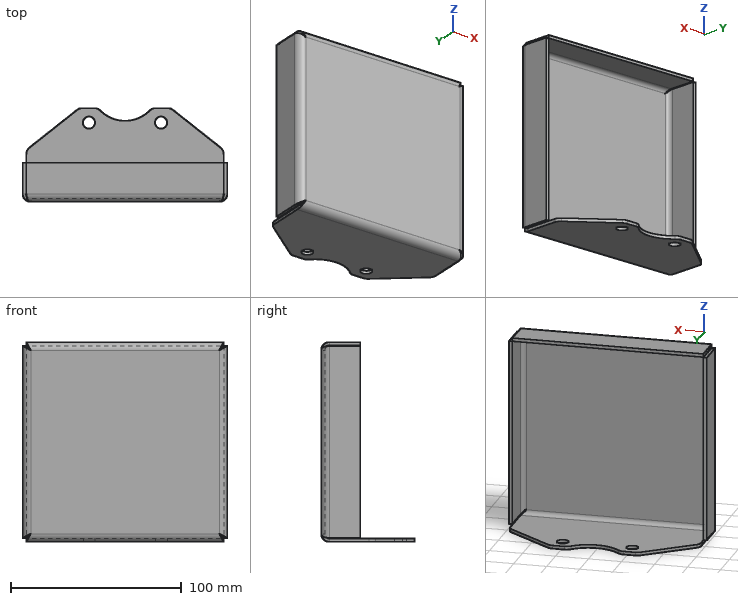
import cadquery as cq
import math

width = 120.0
height = 117.0
flange_depth = 23.0
thickness = 2.0
bend_radius = 4.8
inner_bend_radius = bend_radius - thickness
end_inset = 2.2

cutter_overrun = 5
cutter_margin = 0.6
cutter_steps = 10

tab_depth = 55.0
shoulder_depth = 30.4
tab_top_half_width = 26.8
tab_corner_radius = 4.8
notch_radius = 20.4
notch_bottom_depth = 47.5
notch_corner_radius = 4.8
hole_diameter = 7.0
hole_offset = 21.1
hole_depth = 46.5


def make_face():
    """Flat front plate between the four bend lines."""
    return cq.Workplane("XY").box(
        width - 2 * bend_radius, thickness, height - 2 * bend_radius, centered=(True, False, True)
    )


def make_bend_end_cutter(half_length, bend_line):
    """Waste beyond the +X end of a bend; its end face is ruled along the bend's radii."""
    def end_curve(radius):
        points = []
        for step in range(cutter_steps + 1):
            angle = math.radians(-cutter_overrun + step * (90 + 2 * cutter_overrun) / cutter_steps)
            inset = bend_radius - (bend_radius - end_inset) * math.sin(angle)
            points.append(cq.Vector(
                half_length - inset,
                bend_radius - radius * math.cos(angle),
                bend_line + radius * math.sin(angle),
            ))
        return cq.Edge.makeSpline(points)

    end_face = cq.Face.makeRuledSurface(
        end_curve(inner_bend_radius - cutter_margin), end_curve(bend_radius + cutter_margin)
    )
    waste = cq.Solid.extrudeLinear(end_face, cq.Vector(2 * bend_radius, 0, 0))
    return cq.Workplane(waste)


def make_fold(length, outer):
    """Upper flange and its bend, for a side of given length whose outer surface is at Z = outer."""
    half_length = length / 2
    bend_line = outer - bend_radius
    diagonal = math.sqrt(0.5)
    flange = cq.Workplane("XY").box(
        length - 2 * end_inset, flange_depth - bend_radius, thickness, centered=(True, False, False)
    ).translate((0, bend_radius, outer - thickness))
    bend = (
        cq.Workplane("YZ")
        .moveTo(0, bend_line)
        .threePointArc(
            (bend_radius * (1 - diagonal), bend_line + bend_radius * diagonal), (bend_radius, outer)
        )
        .lineTo(bend_radius, outer - thickness)
        .threePointArc(
            (bend_radius - inner_bend_radius * diagonal, bend_line + inner_bend_radius * diagonal),
            (thickness, bend_line),
        )
        .close()
        .extrude(half_length, both=True)
    )
    end_cutter = make_bend_end_cutter(half_length, bend_line)
    bend = bend.cut(end_cutter).cut(end_cutter.mirror("YZ"))
    return flange.union(bend)


def make_tab():
    """Bottom mounting tab with sloped shoulders, a round notch and two holes."""
    half_width = width / 2 - end_inset
    plate = (
        cq.Workplane("XY")
        .polyline([
            (-half_width, bend_radius),
            (half_width, bend_radius),
            (half_width, shoulder_depth),
            (tab_top_half_width, tab_depth),
            (-tab_top_half_width, tab_depth),
            (-half_width, shoulder_depth),
        ])
        .close()
        .extrude(thickness)
        .edges("|Z and (not <Y)")
        .fillet(tab_corner_radius)
    )
    notch = (
        cq.Workplane("XY")
        .center(0, notch_bottom_depth + notch_radius)
        .circle(notch_radius)
        .extrude(thickness)
    )
    notch_corners = cq.selectors.BoxSelector(
        (-notch_radius, notch_bottom_depth, -thickness), (notch_radius, tab_depth + thickness, 2 * thickness)
    )
    plate = plate.cut(notch).edges("|Z").edges(notch_corners).fillet(notch_corner_radius)
    holes = (
        cq.Workplane("XY")
        .pushPoints([(-hole_offset, hole_depth), (hole_offset, hole_depth)])
        .circle(hole_diameter / 2)
        .extrude(thickness)
    )
    return plate.cut(holes).translate((0, 0, -height / 2))


result = make_face()
for turn, length, outer in (
    (0, width, height / 2),
    (90, height, width / 2),
    (180, width, height / 2),
    (270, height, width / 2),
):
    result = result.union(make_fold(length, outer).rotate((0, 0, 0), (0, 1, 0), turn))
result = result.union(make_tab()).clean()